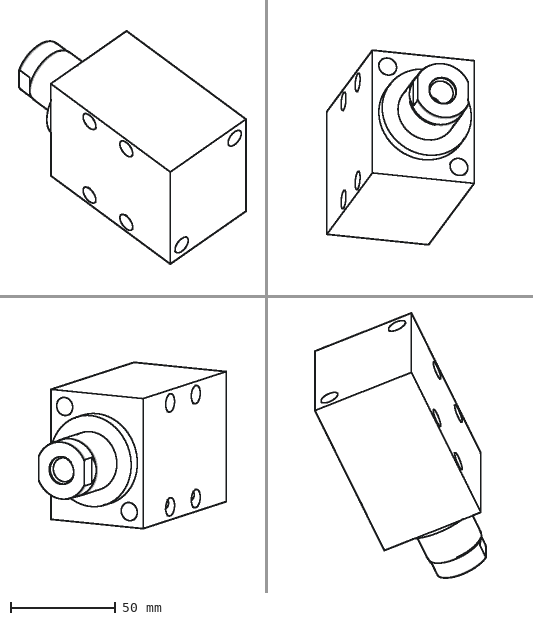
import cadquery as cq

total_length = 117.5
block_length = 82.3
block_width = 50.7
block_height = 63.5
block_start = total_length - block_length

flange_diameter = 44.4
flange_thickness = 6.1

rod_diameter = 28.7
nose_diameter = 28.2
nose_length = 8.9
step_length = 0.7
tip_chamfer_length = 0.8
tip_chamfer_depth = 0.2

flat_width = 25.1
flat_length = 7.5
bore_diameter = 11.6
bore_mouth_diameter = 13.4
bore_mouth_depth = 0.9
bore_taper_length = 1.5
bore_depth = 23.5

bolt_hole_diameter = 8.8
cross_hole_start = 61.8
cross_hole_pitch = 25.4
cross_hole_height = 25.4
long_hole_offset_y = 17.7
long_hole_offset_z = 24.1


def make_block():
    return cq.Workplane("XY").box(block_length, block_width, block_height).translate(
        (block_start + block_length / 2, 0, 0)
    )


def make_rod():
    """Stepped rod with a chamfered tip and a locating flange, revolved about X."""
    nose_radius = nose_diameter / 2
    rod_radius = rod_diameter / 2
    flange_start = block_start - flange_thickness
    return (
        cq.Workplane("XY")
        .moveTo(0, 0)
        .lineTo(0, nose_radius - tip_chamfer_depth)
        .lineTo(tip_chamfer_length, nose_radius)
        .lineTo(nose_length, nose_radius)
        .lineTo(nose_length + step_length, rod_radius)
        .lineTo(flange_start, rod_radius)
        .lineTo(flange_start, flange_diameter / 2)
        .lineTo(block_start, flange_diameter / 2)
        .lineTo(block_start, 0)
        .close()
        .revolve(360, (0, 0, 0), (1, 0, 0))
    )


def make_flat_cutter(side):
    """Wrench flat on one side (+1 or -1 along Y), ending in a 45 degree ramp."""
    inner = flat_width / 2
    outer = rod_diameter
    ramp = outer - inner
    return (
        cq.Workplane("XY")
        .polyline([
            (0, side * inner),
            (flat_length, side * inner),
            (flat_length + ramp, side * outer),
            (0, side * outer),
        ])
        .close()
        .extrude(rod_diameter / 2, both=True)
    )


def make_bore():
    """Blind bore from the tip with a wider mouth that tapers down to the bore."""
    bore_radius = bore_diameter / 2
    mouth_radius = bore_mouth_diameter / 2
    return (
        cq.Workplane("XY")
        .polyline([
            (0, 0),
            (0, mouth_radius),
            (bore_mouth_depth, mouth_radius),
            (bore_mouth_depth + bore_taper_length, bore_radius),
            (bore_depth, bore_radius),
            (bore_depth, 0),
        ])
        .close()
        .revolve(360, (0, 0, 0), (1, 0, 0))
    )


def make_cross_holes():
    """Four holes through the block along Y."""
    points = [
        (x, z)
        for x in (cross_hole_start, cross_hole_start + cross_hole_pitch)
        for z in (-cross_hole_height, cross_hole_height)
    ]
    return (
        cq.Workplane("XZ")
        .pushPoints(points)
        .circle(bolt_hole_diameter / 2)
        .extrude(block_width / 2, both=True)
    )


def make_long_holes():
    """Two diagonally opposite holes through the block along X."""
    return (
        cq.Workplane("YZ", origin=(block_start, 0, 0))
        .pushPoints([
            (long_hole_offset_y, long_hole_offset_z),
            (-long_hole_offset_y, -long_hole_offset_z),
        ])
        .circle(bolt_hole_diameter / 2)
        .extrude(block_length)
    )


result = make_block().union(make_rod())
for flat_side in (-1, 1):
    result = result.cut(make_flat_cutter(flat_side))
result = result.cut(make_bore()).cut(make_cross_holes()).cut(make_long_holes())